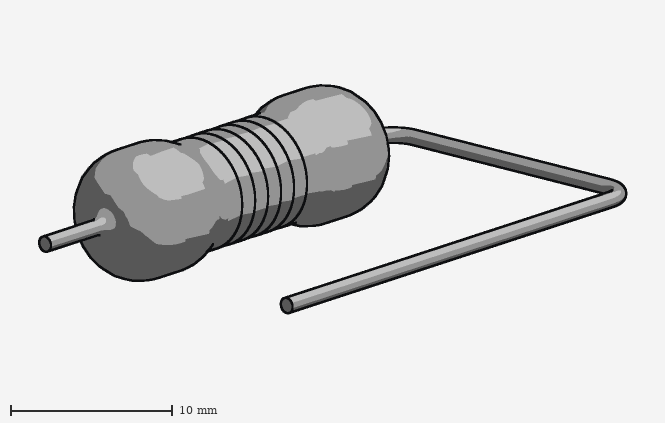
import cadquery as cq
import math

wire_diameter = 1.0
lead_pitch = 20.0
overall_length = 32.9
bend_radius = 2.0

cap_diameter = 8.4
band_diameter = 7.17
core_diameter = 7.15
body_center_y = 17.5
band_width = 1.22
band_count = 7
neck_length = 2.45
cap_length = 2.25
dome_radius = 3.0
foot_radius = 1.3

wire_radius = wire_diameter / 2
cap_radius = cap_diameter / 2
band_radius = band_diameter / 2
core_radius = core_diameter / 2
dome_center_radius = cap_radius - dome_radius
flare_radius = foot_radius - wire_radius
diagonal = math.sqrt(0.5)

waist_half = band_count * band_width / 2
neck_end = waist_half + neck_length
cap_end = neck_end + cap_length
dome_end = cap_end + dome_radius
flare_end = dome_end + flare_radius


def make_half_body():
    """Half of the body at band radius, from its middle toward +Y."""
    neck_middle = ((band_radius + cap_radius) / 2, (waist_half + neck_end) / 2)
    dome_middle = (dome_center_radius + dome_radius * diagonal, cap_end + dome_radius * diagonal)
    foot_angle = math.acos((foot_radius - dome_center_radius) / dome_radius)
    foot_y = cap_end + dome_radius * math.sin(foot_angle)
    flare_middle = (foot_radius - flare_radius * diagonal, flare_end - flare_radius * diagonal)
    return (
        cq.Workplane("XY")
        .lineTo(band_radius, 0)
        .lineTo(band_radius, waist_half)
        .tangentArcPoint(neck_middle, relative=False)
        .tangentArcPoint((cap_radius, neck_end), relative=False)
        .lineTo(cap_radius, cap_end)
        .threePointArc(dome_middle, (foot_radius, foot_y))
        .threePointArc(flare_middle, (wire_radius, flare_end))
        .lineTo(0, flare_end)
        .close()
        .revolve(360, (0, 0), (0, 1))
    )


def make_gap_ring(start_y):
    """Shallow ring that takes one gap between bands down to the core."""
    return (
        cq.Workplane("XY")
        .moveTo(core_radius, start_y)
        .lineTo(cap_radius, start_y)
        .lineTo(cap_radius, start_y + band_width)
        .lineTo(core_radius, start_y + band_width)
        .close()
        .revolve(360, (0, 0), (0, 1))
    )


def make_body():
    half = make_half_body()
    body = half.union(half.mirror("XZ"))
    for index in range(1, band_count, 2):
        body = body.cut(make_gap_ring(-waist_half + index * band_width))
    return body.translate((0, body_center_y, 0))


def make_wire():
    """One wire through the body, bent over and brought back beside it."""
    top_y = overall_length - wire_radius
    bend_start_y = top_y - bend_radius
    bend_inset = bend_radius * (1 - diagonal)
    path = (
        cq.Workplane("XY")
        .lineTo(0, bend_start_y)
        .threePointArc((bend_inset, top_y - bend_inset), (bend_radius, top_y))
        .lineTo(lead_pitch - bend_radius, top_y)
        .threePointArc((lead_pitch - bend_inset, top_y - bend_inset), (lead_pitch, bend_start_y))
        .lineTo(lead_pitch, 0)
    )
    return cq.Workplane("XZ").circle(wire_radius).sweep(path)


result = make_body().union(make_wire())